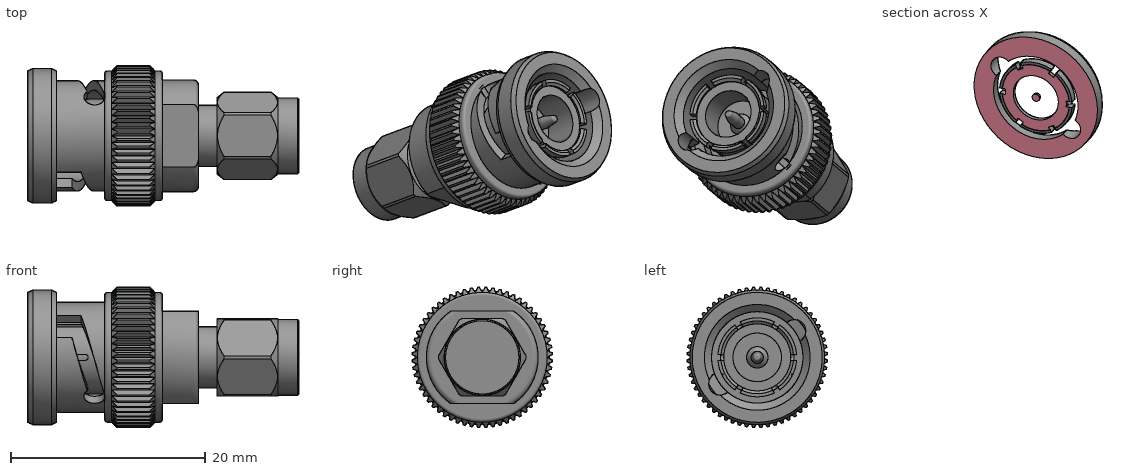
import cadquery as cq
import math


TOTAL_LENGTH = 27.95
FLANGE_END = 3.0
COLLAR_START = 7.93
KNURL_START = 8.65
KNURL_END = 13.13
COLLAR_END = 13.9
BODY_END = 17.6
HEX_START = 19.5
HEX_END = 25.8

FLANGE_DIA = 13.9
BARREL_DIA = 11.4
COLLAR_DIA = 13.38
KNURL_DIA = 14.47
BODY_DIA = 11.5
NECK_DIA = 6.35
TAIL_DIA = 7.82

FLANGE_BREAK_LENGTH = 0.53
FLANGE_BREAK_DEPTH = 0.25
COLLAR_ROUND = 0.3
BODY_ROUND = 0.53
TAIL_BREAK = 0.15

KNURL_COUNT = 60
KNURL_GROOVE_WIDTH = 0.55
KNURL_GROOVE_DEPTH = 0.53

BODY_FLATS = 9.53
HEX_FLATS = 7.95
HEX_CORNER_DIA = 9.02
HEX_FACE_DIA = 7.88
HEX_BREAK_LENGTH = 0.73

MOUTH_DIA = 10.9
BORE_DIA = 9.42
BORE_DEPTH = 8.38

SLEEVE_DIA = 7.55
SLEEVE_LIP_DIA = 8.13
SLEEVE_LIP_LENGTH = 0.85
SLEEVE_TIP = 0.92
SLEEVE_MOUTH_DIA = 7.5
SLEEVE_CONE_DEPTH = 0.22
SLIT_COUNT = 6
SLIT_WIDTH = 0.61
SLIT_END = 6.23
INSULATOR_DIA = 6.9
INSULATOR_TIP = 1.35
INSULATOR_BORE_DIA = 5.0
INSULATOR_BORE_END = 5.03
PIN_DIA = 1.25
PIN_TIP_DIA = 0.7
PIN_TIP = 1.29
PIN_TIP_ROUND = 0.2
PIN_TAPER_END = 2.8
PIN_BASE_DIA = 2.2
PIN_BASE_LENGTH = 0.55

ENTRY_ANGLE = 35.3
ENTRY_SPAN = 28.1
ENTRY_NOTCH_DIA = 2.32
RAMP_END_ANGLE = -40.0
RAMP_START_X = 5.03
RAMP_PITCH = 9.7
RAMP_WIDTH = 1.68
LATCH_ANGLE = -45.0
LATCH_X = 6.9
LATCH_DIA = 2.18

CUT_MARGIN = 0.28
SLOT_INNER_RADIUS = (SLEEVE_DIA + BORE_DIA) / 4
SLOT_OUTER_RADIUS = BARREL_DIA / 2 + CUT_MARGIN


def at_x(x):
    """Plane across the axis at station x; its local axes are Y and Z."""
    return cq.Workplane("YZ", origin=(x, 0, 0))


def turned(points):
    """Solid turned about the X axis from an outline of (x, radius) points."""
    return cq.Workplane("XY").polyline(points).close().revolve(360, (0, 0, 0), (1, 0, 0))


def cylinder(start, end, diameter):
    return at_x(start).circle(diameter / 2).extrude(end - start)


def polar_point(radius, angle):
    """(Y, Z) point across the axis, for an angle in radians from +Y."""
    return (radius * math.cos(angle), radius * math.sin(angle))


def around_axis(shape, degrees):
    """Turn a shape about X so that -Y moves towards -Z for positive degrees."""
    return shape.rotate((0, 0, 0), (1, 0, 0), degrees)


def make_flange():
    radius = FLANGE_DIA / 2
    face_radius = radius - FLANGE_BREAK_DEPTH
    return turned([
        (0, 0),
        (0, face_radius),
        (FLANGE_BREAK_LENGTH, radius),
        (FLANGE_END - FLANGE_BREAK_LENGTH, radius),
        (FLANGE_END, face_radius),
        (FLANGE_END, 0),
    ])


def make_knurl():
    """Ring of flat-topped teeth with V grooves between them and 45 degree ends."""
    radius = KNURL_DIA / 2
    root_radius = radius - KNURL_GROOVE_DEPTH
    base_radius = COLLAR_DIA / 2
    rise = radius - base_radius
    pitch = 2 * math.pi / KNURL_COUNT
    half_groove = math.asin(KNURL_GROOVE_WIDTH / KNURL_DIA)

    outline = []
    for index in range(KNURL_COUNT):
        root = index * pitch
        outline.append(polar_point(radius, root - half_groove))
        outline.append(polar_point(root_radius, root))
        outline.append(polar_point(radius, root + half_groove))
    teeth = at_x(KNURL_START).polyline(outline).close().extrude(KNURL_END - KNURL_START)

    envelope = turned([
        (KNURL_START, 0),
        (KNURL_START, base_radius),
        (KNURL_START + rise, radius),
        (KNURL_END - rise, radius),
        (KNURL_END, base_radius),
        (KNURL_END, 0),
    ])
    return teeth.intersect(envelope)


def make_collar():
    collar = cylinder(COLLAR_START, COLLAR_END, COLLAR_DIA)
    return collar.faces("<X or >X").edges().fillet(COLLAR_ROUND)


def make_body():
    """Round body with two wrench flats facing up and down."""
    body = cylinder(COLLAR_START, BODY_END, BODY_DIA).faces(">X").edges().fillet(BODY_ROUND)
    between_flats = at_x(COLLAR_START).rect(BODY_DIA, BODY_FLATS).extrude(BODY_END - COLLAR_START)
    return body.intersect(between_flats)


def make_hex_nut():
    """Hexagon with flats facing up and down, its corners and ends turned down."""
    hex_point_dia = HEX_FLATS / math.cos(math.pi / 6)
    hexagon = at_x(HEX_START).polygon(6, hex_point_dia).extrude(HEX_END - HEX_START)
    envelope = turned([
        (HEX_START, 0),
        (HEX_START, HEX_FACE_DIA / 2),
        (HEX_START + HEX_BREAK_LENGTH, HEX_CORNER_DIA / 2),
        (HEX_END - HEX_BREAK_LENGTH, HEX_CORNER_DIA / 2),
        (HEX_END, HEX_FACE_DIA / 2),
        (HEX_END, 0),
    ])
    return hexagon.intersect(envelope)


def make_tail():
    return cylinder(HEX_END, TOTAL_LENGTH, TAIL_DIA).faces(">X").chamfer(TAIL_BREAK)


def make_socket():
    """Space inside the bayonet end, flared at the mouth."""
    flare = (MOUTH_DIA - BORE_DIA) / 2
    return turned([
        (0, 0),
        (0, MOUTH_DIA / 2),
        (flare, BORE_DIA / 2),
        (BORE_DEPTH, BORE_DIA / 2),
        (BORE_DEPTH, 0),
    ])


def make_slot():
    """Bayonet slot on the -Y side: entry, helical ramp and round latch hole."""
    notch = (
        at_x(0)
        .center(-BORE_DIA / 2, 0)
        .circle(ENTRY_NOTCH_DIA / 2)
        .extrude(FLANGE_END)
    )
    notch = around_axis(notch, -ENTRY_ANGLE)

    half_span = math.radians(ENTRY_SPAN / 2)
    half_opening = SLOT_OUTER_RADIUS * math.tan(half_span)
    entry = (
        at_x(FLANGE_END)
        .polyline([(0, 0), (-SLOT_OUTER_RADIUS, half_opening), (-SLOT_OUTER_RADIUS, -half_opening)])
        .close()
        .extrude(RAMP_START_X - FLANGE_END)
    )
    entry = around_axis(entry, -ENTRY_ANGLE)

    ramp_top = ENTRY_ANGLE + ENTRY_SPAN / 2
    advance_per_degree = RAMP_PITCH / 360
    ramp_start = RAMP_START_X - advance_per_degree * (ramp_top - ENTRY_ANGLE)
    ramp_length = advance_per_degree * (ramp_top - RAMP_END_ANGLE)
    helix = cq.Wire.makeHelix(RAMP_PITCH, ramp_length, BARREL_DIA / 2)
    ramp = (
        cq.Workplane("XZ")
        .center((SLOT_INNER_RADIUS + SLOT_OUTER_RADIUS) / 2, 0)
        .rect(SLOT_OUTER_RADIUS - SLOT_INNER_RADIUS, RAMP_WIDTH)
        .sweep(cq.Workplane(helix), isFrenet=True)
        .rotate((0, 0, 0), (0, 1, 0), 90)
        .translate((ramp_start, 0, 0))
    )
    ramp = around_axis(ramp, -90 - ramp_top)

    latch = (
        cq.Workplane("XZ", origin=(LATCH_X, 0, 0))
        .circle(LATCH_DIA / 2)
        .extrude(SLOT_OUTER_RADIUS)
    )
    latch = around_axis(latch, -LATCH_ANGLE)
    return [notch, entry, ramp, latch]


def make_sleeve():
    """Slit spring sleeve with a tapered mouth and a lip around its tip."""
    lip_end = SLEEVE_TIP + SLEEVE_LIP_LENGTH
    taper_end = SLEEVE_TIP + SLEEVE_CONE_DEPTH
    sleeve = turned([
        (SLEEVE_TIP, SLEEVE_MOUTH_DIA / 2),
        (SLEEVE_TIP, SLEEVE_LIP_DIA / 2),
        (lip_end, SLEEVE_LIP_DIA / 2),
        (lip_end, SLEEVE_DIA / 2),
        (BORE_DEPTH, SLEEVE_DIA / 2),
        (BORE_DEPTH, INSULATOR_DIA / 2),
        (taper_end, INSULATOR_DIA / 2),
    ])
    slit_round = SLIT_WIDTH / 2
    slit_straight = SLIT_END - slit_round
    slit = (
        cq.Workplane("XZ")
        .moveTo(0, slit_round)
        .lineTo(slit_straight, slit_round)
        .threePointArc((SLIT_END, 0), (slit_straight, -slit_round))
        .lineTo(0, -slit_round)
        .close()
        .extrude(SLEEVE_DIA)
    )
    for index in range(SLIT_COUNT):
        sleeve = sleeve.cut(around_axis(slit, 360 / SLIT_COUNT * index))
    return sleeve


def make_insulator():
    insulator = cylinder(INSULATOR_TIP, BORE_DEPTH, INSULATOR_DIA)
    return insulator.cut(cylinder(INSULATOR_TIP, INSULATOR_BORE_END, INSULATOR_BORE_DIA))


def make_pin():
    """Centre contact with a tapered, rounded tip and a conical foot."""
    pin = turned([
        (PIN_TIP, 0),
        (PIN_TIP, PIN_TIP_DIA / 2),
        (PIN_TAPER_END, PIN_DIA / 2),
        (INSULATOR_BORE_END - PIN_BASE_LENGTH, PIN_DIA / 2),
        (INSULATOR_BORE_END, PIN_BASE_DIA / 2),
        (INSULATOR_BORE_END, 0),
    ])
    return pin.faces("<X").edges().fillet(PIN_TIP_ROUND)


shell = (
    make_flange()
    .union(cylinder(FLANGE_END, COLLAR_START, BARREL_DIA))
    .union(make_collar())
    .union(make_knurl())
    .cut(make_socket())
)
for cutter in make_slot():
    shell = shell.cut(cutter).cut(around_axis(cutter, 180))

rear = (
    cylinder(BODY_END, HEX_START, NECK_DIA)
    .union(make_body().cut(make_socket()))
    .union(make_hex_nut())
    .union(make_tail())
)

contact = make_sleeve().union(make_insulator()).union(make_pin())

result = shell.union(rear).union(contact)